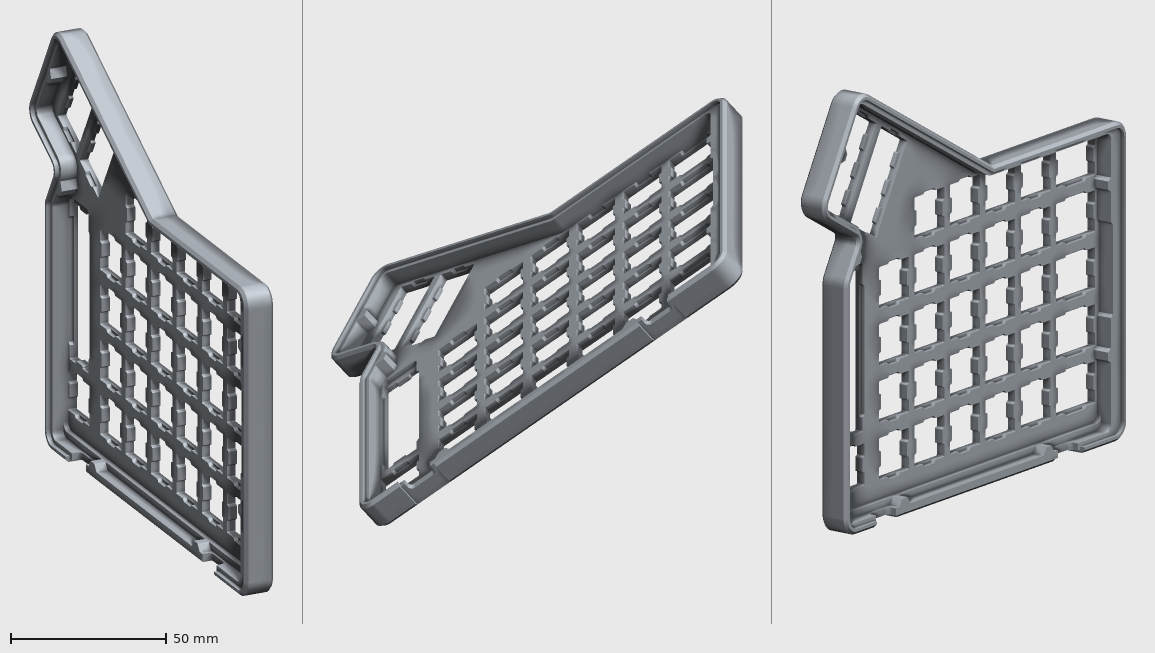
import cadquery as cq
import math


WIDTH = 151.53
MAIN_HEIGHT = 106.8
TOTAL_HEIGHT = 146.13
HEAD_OVERHANG = 11.75
HEAD_TILT = 30.0
HEAD_HEIGHT = 43.44
NECK_LENGTH = 24.9
CORNER_RADIUS = 6.0
NECK_RADIUS = 2.5
VALLEY_RADIUS = 1.8
EDGE_CHAMFER = 1.0

DEPTH = 10.2
LEDGE_Y = 1.5
STEP_Y = 5.5
PLATE_Y = 7.2
CLIP_Y = 8.7

RIM_WIDTH = 2.0
WALL = 3.45
RIGHT_WALL = 7.1
POCKET_RADIUS = 2.5
STEP_WIDTH = 2.4

UNIT = 19.05
OPENING_WIDTH = 16.0
OPENING_HEIGHT = 14.0
OPENING_RADIUS = 0.48
TAB_LENGTH = 5.2
TAB_HEIGHT = (OPENING_WIDTH - OPENING_HEIGHT) / 2
CLIP_BASE = 6.5
CLIP_TIP = 4.8
CLIP_HEIGHT = 0.9
ROWS = 5
COLUMNS = 5
WIDE_KEY_TRAVEL = 5.0
WIDE_KEY_UNITS = 1.25
HEAD_KEYS = 2
HEAD_KEY_OFFSET = 16.0
THUMB_GAP_UNITS = 1.25
FIRST_COLUMN_X = 35.35
FIRST_ROW_Z = 19.25
THUMB_X = FIRST_COLUMN_X - THUMB_GAP_UNITS * UNIT
WIDE_KEY_X = FIRST_COLUMN_X + (COLUMNS - 1 + (1 + WIDE_KEY_UNITS) / 2) * UNIT
SLOT_TRAVEL = 2 * UNIT
SLOT_MID_Z = FIRST_ROW_Z + 2 * UNIT
SLOT_RECESS_RADIUS = 1.5
SLOT_RECESS = 2.5

HEAD_TAB_BASE = 6.6
HEAD_TAB_TIP = 2.2
HEAD_TAB_HEIGHT = 2.5
NECK_TAB_FROM_CORNER = 5.6
RIGHT_TAB_BASE = 4.8
RIGHT_TAB_TIP = 2.8
RIGHT_TAB_HEIGHT = 1.6
RIGHT_TAB_OFFSET = 1.5 * UNIT
RELIEF_DEPTH = 1.0
RELIEF_LENGTH = 32.0
RIGHT_WALL_MID_Z = FIRST_ROW_Z + 2 * UNIT

BOTTOM_MID_X = 72.3
NOTCH_OFFSET = 48.9
NOTCH_WIDTH = 10.6
NOTCH_Y = 4.75
NOTCH_RADIUS = 1.7
CLEARANCE_WIDTH = 13.7
CLEARANCE_HEIGHT = 1.0
HUMP_OFFSET = 38.7
HUMP_BASE = 5.9
HUMP_TIP = 2.7

COS = math.cos(math.radians(HEAD_TILT))
SIN = math.sin(math.radians(HEAD_TILT))
ACROSS = (COS, -SIN)
ALONG = (SIN, COS)


def shifted(point, across, along):
    """A point moved by distances in the two head directions."""
    x = point[0] + across * ACROSS[0] + along * ALONG[0]
    z = point[1] + across * ACROSS[1] + along * ALONG[1]
    return (x, z)


LEFT_CENTRE_X = CORNER_RADIUS - HEAD_OVERHANG
TOP_CENTRE_Z = TOTAL_HEIGHT - CORNER_RADIUS
HEAD_SPAN = HEAD_HEIGHT - 2 * CORNER_RADIUS
LEFT_CENTRE = (LEFT_CENTRE_X, TOP_CENTRE_Z - HEAD_SPAN * COS)
LEFT_CORNER = shifted(LEFT_CENTRE, -CORNER_RADIUS, -CORNER_RADIUS)
TOP_CORNER = shifted(LEFT_CORNER, 0, HEAD_HEIGHT)
NECK_CORNER = shifted(LEFT_CORNER, NECK_LENGTH, 0)
ELBOW = (0, NECK_CORNER[1] - NECK_CORNER[0] * COS / SIN)
VALLEY = (TOP_CORNER[0] + (TOP_CORNER[1] - MAIN_HEIGHT) * COS / SIN, MAIN_HEIGHT)
SPECIAL_RADII = {VALLEY: VALLEY_RADIUS, NECK_CORNER: NECK_RADIUS}
HEAD_KEY = shifted(LEFT_CORNER, HEAD_KEY_OFFSET, HEAD_HEIGHT / 2)


def prism(points, y_front, y_back):
    """Closed outline in X and Z, extruded from y_front to y_back."""
    plane = cq.Workplane("XZ", origin=(0, y_front, 0))
    return plane.polyline(points).close().extrude(y_front - y_back)


def block(x_range, y_range, z_range):
    (x0, x1), (z0, z1) = x_range, z_range
    return prism([(x0, z0), (x1, z0), (x1, z1), (x0, z1)], *y_range)


def centred_block(width, height, y_front, y_back):
    return block((-width / 2, width / 2), (y_front, y_back), (-height / 2, height / 2))


def bump(base, tip, height, y_front, y_back):
    """Trapezoid standing on the X axis and pointing to +Z."""
    points = [(-base / 2, 0), (base / 2, 0), (tip / 2, height), (-tip / 2, height)]
    return prism(points, y_front, y_back)


def turned(shape, angle):
    """Turn about the Y axis, anticlockwise as seen from the front."""
    return shape.rotate((0, 0, 0), (0, 1, 0), -angle)


def placed(shape, point):
    return shape.translate((point[0], 0, point[1]))


def outline(y_front, y_back):
    """Full outer body between two depths."""
    corners = [(0, 0), (WIDTH, 0), (WIDTH, MAIN_HEIGHT), VALLEY]
    corners += [TOP_CORNER, LEFT_CORNER, NECK_CORNER, ELBOW]
    body = prism(corners, y_front, y_back)
    for corner in corners:
        radius = SPECIAL_RADII.get(corner, CORNER_RADIUS)
        middle = (corner[0], (y_front + y_back) / 2, corner[1])
        body = body.edges(cq.selectors.NearestToPointSelector(middle)).fillet(radius)
    return body


def inset(distance, y_front, y_back):
    """Body whose sides lie a given distance inside the outer sides."""
    wire = outline(y_front, y_back).faces("<Y").wires().val()
    shrunk = wire.offset2D(-distance, "intersection")[0]
    face = cq.Face.makeFromWires(shrunk)
    return cq.Workplane(cq.Solid.extrudeLinear(face, cq.Vector(0, y_back - y_front, 0)))


def pocket():
    """Inner pocket with the thicker right wall."""
    limit = block((-WIDTH, WIDTH - RIGHT_WALL), (LEDGE_Y, PLATE_Y), (0, TOTAL_HEIGHT))
    hollow = inset(WALL, LEDGE_Y, PLATE_Y).intersect(limit)
    hollow = hollow.edges("|Y and >X").fillet(POCKET_RADIUS)
    hollow = hollow.cut(bottom_step())
    for shape in wall_tabs():
        hollow = hollow.cut(shape)
    return hollow.union(right_relief())


def bottom_step():
    """Raised strip along the bottom of the plate, with filleted ends."""
    x_range = (WALL, WIDTH - RIGHT_WALL)
    top = WALL + STEP_WIDTH
    upturn = top + POCKET_RADIUS
    strip = block(x_range, (STEP_Y, PLATE_Y), (WALL, upturn))
    above = block(x_range, (STEP_Y, PLATE_Y), (top, upturn + POCKET_RADIUS))
    above = above.edges("|Y and <Z").fillet(POCKET_RADIUS)
    step = strip.cut(above)
    for side in (-1, 1):
        hump = bump(HUMP_BASE, HUMP_TIP, STEP_WIDTH, LEDGE_Y, STEP_Y)
        step = step.union(placed(hump, (BOTTOM_MID_X + side * HUMP_OFFSET, WALL)))
    return step


def wall_tabs():
    """Small supports standing inwards from the pocket walls."""
    head_tab = bump(HEAD_TAB_BASE, HEAD_TAB_TIP, HEAD_TAB_HEIGHT, LEDGE_Y, PLATE_Y)
    head_tab = turned(head_tab, -90 - HEAD_TILT)
    head_place = shifted(LEFT_CORNER, WALL, HEAD_HEIGHT / 2)
    neck_place = shifted(NECK_CORNER, WALL, -NECK_TAB_FROM_CORNER)
    tabs = [placed(head_tab, head_place), placed(head_tab, neck_place)]
    for side in (-1, 1):
        tab = bump(RIGHT_TAB_BASE, RIGHT_TAB_TIP, RIGHT_TAB_HEIGHT, LEDGE_Y, PLATE_Y)
        place = (WIDTH - RIGHT_WALL, RIGHT_WALL_MID_Z + side * RIGHT_TAB_OFFSET)
        tabs.append(placed(turned(tab, 90), place))
    return tabs


def right_relief():
    """Shallow relief in the right wall, with 45 degree ends."""
    relief = bump(RELIEF_LENGTH, RELIEF_LENGTH - 2 * RELIEF_DEPTH, RELIEF_DEPTH, LEDGE_Y, PLATE_Y)
    return placed(turned(relief, -90), (WIDTH - RIGHT_WALL, RIGHT_WALL_MID_Z))


def switch_opening(travel_x=0.0, travel_z=0.0, tab_places=(0.0,), side_clips=False):
    """Cutter for one opening about the origin: the through hole and its clip notches."""
    half_width = (OPENING_WIDTH + travel_x) / 2
    half_height = (OPENING_HEIGHT + travel_z) / 2
    hole = centred_block(2 * half_width, 2 * half_height, PLATE_Y, DEPTH)
    for tab_z in tab_places:
        for side in (-1, 1):
            tab = centred_block(2 * TAB_HEIGHT, TAB_LENGTH, PLATE_Y, DEPTH)
            hole = hole.cut(placed(tab, (side * half_width, tab_z)))
    hole = hole.edges("|Y").fillet(OPENING_RADIUS)
    clip = bump(CLIP_BASE + travel_x, CLIP_TIP + travel_x, CLIP_HEIGHT, PLATE_Y, CLIP_Y)
    upper = placed(clip, (0, half_height))
    hole = hole.union(upper).union(turned(upper, 180))
    if side_clips:
        for tab_z in tab_places:
            clips = centred_block(2 * half_width, CLIP_BASE, PLATE_Y, CLIP_Y)
            hole = hole.union(placed(clips, (0, tab_z)))
    return hole


def key_openings():
    """Regular grid with its wide last column, and the single thumb key."""
    cutters = []
    single = switch_opening()
    wide = switch_opening(travel_x=WIDE_KEY_TRAVEL)
    for row in range(ROWS):
        z = FIRST_ROW_Z + row * UNIT
        for column in range(COLUMNS):
            if column == 0 and row == ROWS - 1:
                continue
            cutters.append(placed(single, (FIRST_COLUMN_X + column * UNIT, z)))
        cutters.append(placed(wide, (WIDE_KEY_X, z)))
    cutters.append(placed(single, (THUMB_X, FIRST_ROW_Z)))
    return cutters


def long_slot():
    """Upright slot for thumb keys at any of several heights, with a recess above it."""
    slot = turned(switch_opening(travel_x=SLOT_TRAVEL), 90)
    top = (SLOT_TRAVEL + OPENING_WIDTH) / 2
    x_range = (-OPENING_HEIGHT / 2, OPENING_HEIGHT / 2)
    recess = block(x_range, (PLATE_Y, CLIP_Y), (0, top + SLOT_RECESS))
    recess = recess.edges("|Y and >Z").fillet(SLOT_RECESS_RADIUS)
    return [placed(slot, (THUMB_X, SLOT_MID_Z)), placed(recess, (THUMB_X, SLOT_MID_Z))]


def head_openings():
    """Tall openings side by side in the tilted head."""
    tab_places = (-UNIT / 2, 0.0, UNIT / 2)
    opening = switch_opening(travel_z=UNIT, tab_places=tab_places, side_clips=True)
    opening = turned(opening, -HEAD_TILT)
    return [placed(opening, shifted(HEAD_KEY, key * UNIT, 0)) for key in range(HEAD_KEYS)]


def cut_bottom_edge(body):
    """Lower the bottom edge between the hinge notches to the ledge and cut the notches."""
    half_gap = NOTCH_OFFSET + CLEARANCE_WIDTH / 2
    gap = (BOTTOM_MID_X - half_gap, BOTTOM_MID_X + half_gap)
    body = body.cut(block(gap, (0, LEDGE_Y), (0, WALL)))
    corner = [(LEDGE_Y, 0), (LEDGE_Y + EDGE_CHAMFER, 0), (LEDGE_Y, EDGE_CHAMFER)]
    side_plane = cq.Workplane("YZ", origin=(gap[0], 0, 0))
    body = body.cut(side_plane.polyline(corner).close().extrude(gap[1] - gap[0]))
    for side in (-1, 1):
        x = BOTTOM_MID_X + side * NOTCH_OFFSET
        notch = block((-NOTCH_WIDTH / 2, NOTCH_WIDTH / 2), (0, NOTCH_Y), (0, WALL))
        notch = notch.edges("|Z and >Y").fillet(NOTCH_RADIUS)
        body = body.cut(placed(notch, (x, 0)))
        half_clearance = CLEARANCE_WIDTH / 2
        clearance = block((-half_clearance, half_clearance), (0, DEPTH), (0, CLEARANCE_HEIGHT))
        body = body.cut(placed(clearance, (x, 0)))
    return body


case = outline(0, DEPTH).faces("|Y").edges().chamfer(EDGE_CHAMFER)
case = case.cut(inset(RIM_WIDTH, 0, LEDGE_Y))
case = case.cut(pocket())
case = cut_bottom_edge(case)
for cutter in key_openings() + long_slot() + head_openings():
    case = case.cut(cutter)

result = case